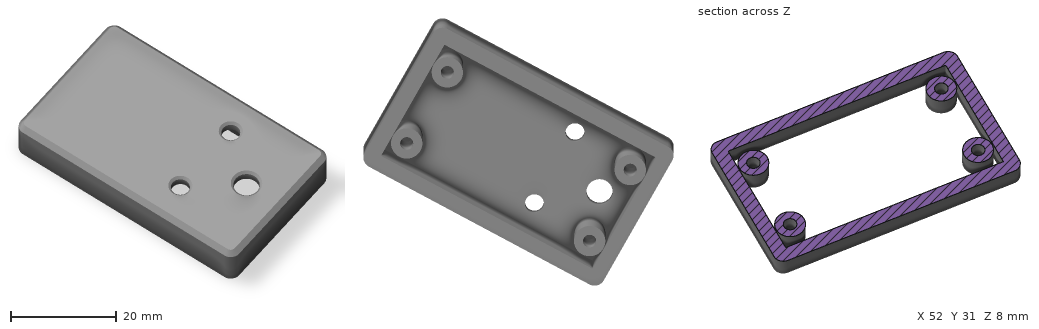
import cadquery as cq

LENGTH = 52.0
WIDTH = 31.0
HEIGHT = 8.0
CORNER_RADIUS = 2.0
TOP_CHAMFER = 1.0

WALL = 3.0
ROOF = 2.0
CAVITY_HEIGHT = HEIGHT - ROOF

RIM_CHAMFER = 0.5
SMALL_HOLE_DIAMETER = 3.6
SMALL_HOLE_X = 7.88
SMALL_HOLE_Y = 8.0
LARGE_HOLE_DIAMETER = 5.0
LARGE_HOLE_X = 17.63

POST_DIAMETER = 5.97
PILOT_DIAMETER = 2.5
POST_X = 19.9
POST_Y = 8.0


def make_shell():
    """Rounded block with a chamfered top edge, hollowed out from below."""
    block = (
        cq.Workplane("XY")
        .rect(LENGTH, WIDTH)
        .extrude(HEIGHT)
        .edges("|Z")
        .fillet(CORNER_RADIUS)
        .faces(">Z")
        .edges()
        .chamfer(TOP_CHAMFER)
    )
    cavity = cq.Workplane("XY").rect(LENGTH - 2 * WALL, WIDTH - 2 * WALL).extrude(CAVITY_HEIGHT)
    return block.cut(cavity)


def add_posts(body):
    """Add the posts between the open side and the roof, with blind pilot holes."""
    centres = [(x, y) for x in (-POST_X, POST_X) for y in (-POST_Y, POST_Y)]
    base = cq.Workplane("XY").pushPoints(centres)
    posts = base.circle(POST_DIAMETER / 2).extrude(CAVITY_HEIGHT)
    pilots = base.circle(PILOT_DIAMETER / 2).extrude(CAVITY_HEIGHT)
    return body.union(posts).cut(pilots)


def chamfered_hole(diameter, x, y):
    """Cutter for a roof hole whose upper rim widens at 45 degrees."""
    radius = diameter / 2
    profile = [
        (0, CAVITY_HEIGHT),
        (radius, CAVITY_HEIGHT),
        (radius, HEIGHT - RIM_CHAMFER),
        (radius + RIM_CHAMFER, HEIGHT),
        (0, HEIGHT),
    ]
    cutter = cq.Workplane("XZ").polyline(profile).close().revolve(360, (0, 0, 0), (0, 1, 0))
    return cutter.translate((x, y, 0))


result = add_posts(make_shell())
for hole_y in (-SMALL_HOLE_Y, SMALL_HOLE_Y):
    result = result.cut(chamfered_hole(SMALL_HOLE_DIAMETER, SMALL_HOLE_X, hole_y))
result = result.cut(chamfered_hole(LARGE_HOLE_DIAMETER, LARGE_HOLE_X, 0))